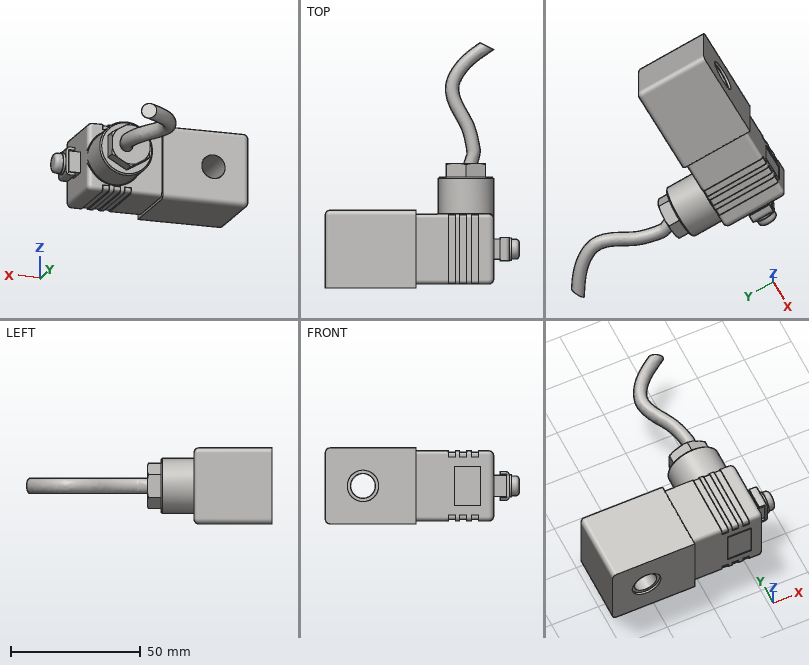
import cadquery as cq
import math

COIL_LENGTH = 35.2
COIL_DEPTH = 30.2
COIL_HEIGHT = 29.5
COIL_FILLET = 2.0
BORE_X = 14.6
BORE_DIAMETER = 9.5
COUNTERBORE_DIAMETER = 12.1
COUNTERBORE_DEPTH = 0.95

HOUSING_END_X = 65.15
HOUSING_DEPTH = 27.0
HOUSING_HEIGHT = 27.2
HOUSING_CENTER_Y = COIL_DEPTH / 2
HOUSING_BACK_Y = HOUSING_CENTER_Y + HOUSING_DEPTH / 2
HOUSING_FRONT_Y = HOUSING_CENTER_Y - HOUSING_DEPTH / 2
HOUSING_SIDE_FILLET = 1.5
HOUSING_END_FILLET = 2.0

GROOVE_CENTERS_X = (48.9, 53.3, 57.8)
GROOVE_WIDTH = 2.7
GROOVE_DEPTH = 0.6
GROOVE_SIDE_INSET = 0.3
GROOVE_SIDE_REACH = 2.4
GROOVE_FLOOR_FILLET = HOUSING_SIDE_FILLET - GROOVE_DEPTH

LABEL_CENTER_X = 55.0
LABEL_LENGTH = 10.05
LABEL_HEIGHT = 15.2
LABEL_DEPTH = 0.4

GLAND_DIAMETER = 21.5
GLAND_X = HOUSING_END_X - GLAND_DIAMETER / 2
GLAND_END_Y = 42.9
GLAND_CHAMFER = 0.6
GLAND_PAD_HEIGHT = 0.3
GLAND_PAD_MARGIN = 0.3
NUT_ACROSS_FLATS = 15.3
NUT_END_Y = 48.2
NUT_BEVEL_LENGTH = 0.5
NUT_BEVEL_WIDTH = 0.95

CABLE_DIAMETER = 6.0
CABLE_FREE_END = (62.5, 93.5)
CABLE_BEND_POINTS = [(52.3, 84.9), (49.1, 77.3), (52.3, 67.6), (55.3, 61.7), (57.2, 53.7)]
CABLE_NUT_END = (55.6, 45.8)
CABLE_FREE_ANGLE = 34.0
CABLE_NUT_ANGLE = 75.0
CABLE_CUT_ANGLE = 63.0

LUG_END_X = 70.1
LUG_DEPTH = 8.0
LUG_HEIGHT = 8.3
CAP_START_X = 67.6
CAP_END_X = 71.1
CAP_DEPTH = 9.1
CAP_HEIGHT = 11.2
CAP_WALL = 1.0
CAP_FILLET = 1.4
WASHER_DIAMETER = 8.6
WASHER_END_X = 72.1
SCREW_DIAMETER = 7.8
SCREW_END_X = 75.0
SCREW_FILLET = 1.4


def block(x_start, x_end, y_start, y_end, height):
    """Box centred on Z between the given X and Y limits."""
    return (
        cq.Workplane("XY")
        .box(x_end - x_start, y_end - y_start, height)
        .translate(((x_start + x_end) / 2, (y_start + y_end) / 2, 0))
    )


def plane_facing_back(y, x=0.0):
    """Sketch plane whose extrusions run toward +Y."""
    return cq.Workplane(cq.Plane(origin=(x, y, 0), xDir=(1, 0, 0), normal=(0, 1, 0)))


def plane_facing_end(x):
    """Sketch plane on the screw axis whose extrusions run toward +X."""
    return cq.Workplane(cq.Plane(origin=(x, HOUSING_CENTER_Y, 0), xDir=(0, 1, 0), normal=(1, 0, 0)))


def make_coil():
    coil = block(0, COIL_LENGTH, 0, COIL_DEPTH, COIL_HEIGHT)
    left_and_back_edges = "(<X and (>Z or <Z)) or (>Y and (>Z or <Z)) or (<X and >Y)"
    coil = coil.edges(left_and_back_edges).fillet(COIL_FILLET)
    bore = plane_facing_back(0, BORE_X).circle(BORE_DIAMETER / 2).extrude(COIL_DEPTH)
    counterbore = (
        plane_facing_back(0, BORE_X)
        .circle(COUNTERBORE_DIAMETER / 2)
        .extrude(COUNTERBORE_DEPTH)
    )
    return coil.cut(bore).cut(counterbore)


def make_housing_body(back_y):
    """Rounded housing block, overlapping the coil by half its length."""
    return (
        block(COIL_LENGTH / 2, HOUSING_END_X, HOUSING_FRONT_Y, back_y, HOUSING_HEIGHT)
        .edges("|X")
        .fillet(HOUSING_SIDE_FILLET)
        .faces(">X")
        .edges()
        .fillet(HOUSING_END_FILLET)
    )


def make_grooves():
    """Grooves that wrap a short way over the front and back edges of the housing."""
    floor = (
        block(
            COIL_LENGTH,
            HOUSING_END_X,
            HOUSING_FRONT_Y + GROOVE_SIDE_INSET,
            HOUSING_BACK_Y - GROOVE_SIDE_INSET,
            HOUSING_HEIGHT - 2 * GROOVE_DEPTH,
        )
        .edges("|X")
        .fillet(GROOVE_FLOOR_FILLET)
    )
    middle_height = HOUSING_HEIGHT - 2 * GROOVE_SIDE_REACH
    middle = block(COIL_LENGTH, HOUSING_END_X, HOUSING_FRONT_Y, HOUSING_BACK_Y, middle_height)
    kept = floor.union(middle)
    grooves = cq.Workplane("XY")
    for x in GROOVE_CENTERS_X:
        slab = block(
            x - GROOVE_WIDTH / 2,
            x + GROOVE_WIDTH / 2,
            HOUSING_FRONT_Y,
            HOUSING_BACK_Y,
            HOUSING_HEIGHT,
        )
        grooves = grooves.add(slab.cut(kept))
    return grooves.combine()


def make_label_recess():
    return (
        plane_facing_back(HOUSING_FRONT_Y, LABEL_CENTER_X)
        .rect(LABEL_LENGTH, LABEL_HEIGHT)
        .extrude(LABEL_DEPTH)
    )


def make_gland():
    """Round gland on a thin pad that follows the rounded end of the housing."""
    base_y = HOUSING_BACK_Y - HOUSING_END_FILLET
    gland = (
        plane_facing_back(base_y, GLAND_X)
        .circle(GLAND_DIAMETER / 2)
        .extrude(GLAND_END_Y - base_y)
        .faces(">Y")
        .chamfer(GLAND_CHAMFER)
    )
    pad = (
        plane_facing_back(base_y, GLAND_X)
        .circle(GLAND_DIAMETER / 2 + GLAND_PAD_MARGIN)
        .extrude(HOUSING_END_FILLET + GLAND_PAD_HEIGHT)
        .intersect(make_housing_body(HOUSING_BACK_Y + GLAND_PAD_HEIGHT))
    )
    return gland.union(pad)


def make_nut():
    """Hexagonal nut with two corners on the Z axis and its outer corners bevelled."""
    across_corners = NUT_ACROSS_FLATS / math.cos(math.radians(30))
    length = NUT_END_Y - GLAND_END_Y
    hexagon = (
        plane_facing_back(GLAND_END_Y)
        .polygon(6, across_corners)
        .extrude(length)
        .rotate((0, 0, 0), (0, 1, 0), 30)
        .translate((GLAND_X, 0, 0))
    )
    bevel = (
        plane_facing_back(GLAND_END_Y, GLAND_X)
        .circle(across_corners / 2)
        .extrude(length)
        .faces(">Y")
        .chamfer(NUT_BEVEL_LENGTH, NUT_BEVEL_WIDTH)
    )
    return hexagon.intersect(bevel)


def inward_direction(angle):
    """Unit vector in the Z = 0 plane pointing back down the cable, for an angle measured from +X."""
    radians = math.radians(angle)
    return cq.Vector(-math.cos(radians), -math.sin(radians), 0)


def make_cable():
    """Round section on the slanted cut, swept along the S-curve at a constant slant."""
    path = cq.Workplane("XY").spline(
        [CABLE_FREE_END, *CABLE_BEND_POINTS, CABLE_NUT_END],
        tangents=[inward_direction(CABLE_FREE_ANGLE), inward_direction(CABLE_NUT_ANGLE)],
    )
    cut_plane = cq.Plane(
        origin=(*CABLE_FREE_END, 0),
        xDir=(0, 0, 1),
        normal=inward_direction(CABLE_CUT_ANGLE),
    )
    return cq.Workplane(cut_plane).circle(CABLE_DIAMETER / 2).sweep(path)


def make_screw():
    """Lug, U-shaped cap, washer and rounded screw head in a row along X."""
    lug = plane_facing_end(HOUSING_END_X).rect(LUG_DEPTH, LUG_HEIGHT).extrude(LUG_END_X - HOUSING_END_X)
    cap = (
        plane_facing_end(CAP_START_X)
        .rect(CAP_DEPTH, CAP_HEIGHT)
        .extrude(CAP_END_X - CAP_START_X)
        .faces(">X")
        .edges("|Y")
        .fillet(CAP_FILLET)
    )
    cap_opening = (
        plane_facing_end(CAP_START_X)
        .rect(CAP_DEPTH, CAP_HEIGHT - 2 * CAP_WALL)
        .extrude(LUG_END_X - CAP_START_X)
    )
    washer = plane_facing_end(CAP_END_X).circle(WASHER_DIAMETER / 2).extrude(WASHER_END_X - CAP_END_X)
    head = (
        plane_facing_end(WASHER_END_X)
        .circle(SCREW_DIAMETER / 2)
        .extrude(SCREW_END_X - WASHER_END_X)
        .faces(">X")
        .edges()
        .fillet(SCREW_FILLET)
    )
    return lug.union(cap.cut(cap_opening)).union(washer).union(head)


housing = make_housing_body(HOUSING_BACK_Y).cut(block(0, COIL_LENGTH, 0, COIL_DEPTH, COIL_HEIGHT))
housing = housing.union(make_gland()).cut(make_grooves()).cut(make_label_recess())

result = make_coil().union(housing).union(make_nut()).union(make_cable()).union(make_screw())